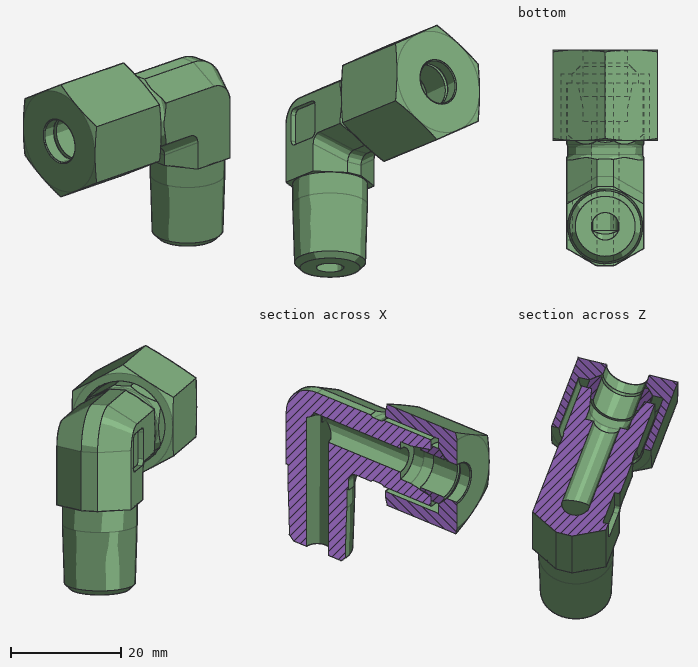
import cadquery as cq
import math


OVERALL_LENGTH = 39.22

BAR_WIDTH = 14.0
BAR_HEIGHT = 14.4
BEND_FILLET = 1.8
THREAD_LEG_LENGTH = 11.02

STUB_DIAMETER = 13.6
STUB_STRAIGHT = 4.0
STUB_END_Z = -27.02
STUB_CHAMFER = 1.02
THREAD_TAPER = 1 / 16

GROOVE_WALL_Y = -12.0
GROOVE_END_Y = -14.35
GROOVE_DIAMETER = 13.7
GROOVE_FILLET = 1.02
LEAD_IN_ANGLE = math.radians(30)
NUT_THREAD_DIAMETER = 16.0
TUBE_LEG_END_Y = -26.0

BORE_DIAMETER = 5.0
BORE_OVERRUN = 0.8
DRILL_POINT_ANGLE = math.radians(118)
TUBE_DIAMETER = 8.0
TUBE_STOP_Y = -19.02
MOUTH_DIAMETER = 10.0
MOUTH_HALF_ANGLE = math.radians(12)

RECESS_SIZE = 7.02
RECESS_CORNER = 1.02
RECESS_DEPTH = 1.02
RECESS_CENTRE = -1.02

NUT_ACROSS_FLATS = 19.0
NUT_FACE_Y = BAR_HEIGHT / 2 - OVERALL_LENGTH
NUT_LENGTH = 16.47
NUT_CHAMFER_ANGLE = math.radians(15)
NUT_BORE_CHAMFER = 0.2
NUT_BORE_LENGTH = 2.4

RING_DIAMETER = 12.0
RING_REAR_GAP = 0.65
RING_NOSE_DEPTH = 2.47

HEX_HALF_ANGLE = math.radians(30)
FLAT_X = BAR_WIDTH / 2
FLAT_TOP = FLAT_X * math.tan(HEX_HALF_ANGLE)
CROWN = BAR_HEIGHT / 2
CROWN_HALF = FLAT_X - (CROWN - FLAT_TOP) * math.tan(2 * HEX_HALF_ANGLE)

NUT_REAR_Y = NUT_FACE_Y + NUT_LENGTH
NUT_CONE_Y = NUT_FACE_Y + NUT_BORE_LENGTH
TUBE_RADIUS = TUBE_DIAMETER / 2
RING_RADIUS = RING_DIAMETER / 2
MOUTH_RADIUS = MOUTH_DIAMETER / 2
NUT_THREAD_RADIUS = NUT_THREAD_DIAMETER / 2
RING_CONE_END_Y = NUT_CONE_Y + RING_RADIUS - TUBE_RADIUS


def turned(points):
    """Solid of revolution about Y from (radius, y) points."""
    return cq.Workplane("XY").polyline(points).close().revolve(360, (0, 0, 0), (0, 1, 0))


def hex_outline(across_flats):
    """Corner points of a regular hexagon with two flats square to its first axis."""
    corner_radius = across_flats / 2 / math.cos(HEX_HALF_ANGLE)
    angles = [(2 * i + 1) * HEX_HALF_ANGLE for i in range(6)]
    return [(corner_radius * math.cos(a), corner_radius * math.sin(a)) for a in angles]


def bar_prism(plane, length):
    """Straight piece of the elbow bar, extruded from the origin along the plane's normal."""
    hexagon_bar = cq.Workplane(plane).polyline(hex_outline(BAR_WIDTH)).close().extrude(length)
    height_limit = cq.Workplane(plane).rect(BAR_WIDTH, BAR_HEIGHT).extrude(length)
    return hexagon_bar.intersect(height_limit)


def bar_bend():
    """Outside of the bend: the upper half of the bar section turned a quarter about X."""
    section = [
        (-FLAT_X, 0),
        (-FLAT_X, FLAT_TOP),
        (-CROWN_HALF, CROWN),
        (CROWN_HALF, CROWN),
        (FLAT_X, FLAT_TOP),
        (FLAT_X, 0),
    ]
    return cq.Workplane("XZ").polyline(section).close().revolve(90, (0, 0, 0), (-1, 0, 0))


def corner_section(x, corner):
    """Rounded filler of the inside corner at y = z = -corner, in the plane at x."""
    tangent = -corner - BEND_FILLET
    arc_mid = tangent + BEND_FILLET * math.sin(math.pi / 4)
    return (
        cq.Workplane("YZ", origin=(x, 0, 0))
        .moveTo(-corner, -corner)
        .lineTo(tangent, -corner)
        .threePointArc((arc_mid, arc_mid), (-corner, tangent))
        .close()
    )


def corner_web():
    """Fillet of the inside corner, following the mitre of the two legs across the width."""
    web = corner_section(-CROWN_HALF, CROWN).extrude(2 * CROWN_HALF)
    rise = CROWN - FLAT_TOP
    for side in (-1, 1):
        wire = corner_section(side * FLAT_X, FLAT_TOP).wire().val()
        along_mitre = cq.Vector(-side * (FLAT_X - CROWN_HALF), -rise, -rise)
        web = web.union(cq.Workplane(cq.Solid.extrudeLinear(wire, [], along_mitre)))
    return web


def tube_leg_envelope():
    """Turned limit of the elbow: whole bar, filleted groove, lead-in cone and thread cylinder."""
    groove_radius = GROOVE_DIAMETER / 2
    wall_top = groove_radius + GROOVE_FILLET
    outer_radius = BAR_WIDTH

    def fillet_point(centre_y, angle):
        """Point on a groove fillet, at an angle from the groove floor toward -Y."""
        return (wall_top - GROOVE_FILLET * math.cos(angle), centre_y - GROOVE_FILLET * math.sin(angle))

    wall_fillet_y = GROOVE_WALL_Y - GROOVE_FILLET
    cone_start = fillet_point(GROOVE_END_Y, LEAD_IN_ANGLE)
    cone_end_y = cone_start[1] - (NUT_THREAD_RADIUS - cone_start[0]) / math.tan(LEAD_IN_ANGLE)
    return (
        cq.Workplane("XY")
        .moveTo(0, BAR_HEIGHT)
        .lineTo(outer_radius, BAR_HEIGHT)
        .lineTo(outer_radius, GROOVE_WALL_Y)
        .lineTo(wall_top, GROOVE_WALL_Y)
        .threePointArc(fillet_point(wall_fillet_y, math.radians(-45)), (groove_radius, wall_fillet_y))
        .lineTo(groove_radius, GROOVE_END_Y)
        .threePointArc(fillet_point(GROOVE_END_Y, LEAD_IN_ANGLE / 2), cone_start)
        .lineTo(NUT_THREAD_RADIUS, cone_end_y)
        .lineTo(NUT_THREAD_RADIUS, TUBE_LEG_END_Y)
        .lineTo(0, TUBE_LEG_END_Y)
        .close()
        .revolve(360, (0, 0, 0), (0, 1, 0))
    )


def thread_stub():
    """Cylinder, 1:16 taper and end chamfer along -Z."""
    top_radius = STUB_DIAMETER / 2
    taper_top_z = -THREAD_LEG_LENGTH - STUB_STRAIGHT
    chamfer_z = STUB_END_Z + STUB_CHAMFER
    chamfer_radius = top_radius - (taper_top_z - chamfer_z) * THREAD_TAPER / 2
    profile = [
        (0, -THREAD_LEG_LENGTH),
        (top_radius, -THREAD_LEG_LENGTH),
        (top_radius, taper_top_z),
        (chamfer_radius, chamfer_z),
        (chamfer_radius - STUB_CHAMFER, STUB_END_Z),
        (0, STUB_END_Z),
    ]
    return cq.Workplane("XZ").polyline(profile).close().revolve(360, (0, 0, 0), (0, 1, 0))


def drilling(start_y):
    """Drilled hole along +Y from start_y, with a conical bottom past the crossing of the axes."""
    radius = BORE_DIAMETER / 2
    tip_y = BORE_OVERRUN + radius / math.tan(DRILL_POINT_ANGLE / 2)
    return turned([(0, start_y), (radius, start_y), (radius, BORE_OVERRUN), (0, tip_y)])


def tube_socket():
    """Conical mouth for the ring, then a straight seat for the tube down to its stop."""
    cone_end_y = TUBE_LEG_END_Y + (MOUTH_RADIUS - TUBE_RADIUS) / math.tan(MOUTH_HALF_ANGLE)
    return turned([
        (0, TUBE_LEG_END_Y),
        (MOUTH_RADIUS, TUBE_LEG_END_Y),
        (TUBE_RADIUS, cone_end_y),
        (TUBE_RADIUS, TUBE_STOP_Y),
        (0, TUBE_STOP_Y),
    ])


def side_recess():
    """Rounded square sunk into the -X flat."""
    return (
        cq.Workplane("YZ", origin=(-FLAT_X, RECESS_CENTRE, RECESS_CENTRE))
        .rect(RECESS_SIZE, RECESS_SIZE)
        .extrude(RECESS_DEPTH)
        .edges("|X")
        .fillet(RECESS_CORNER)
    )


def make_elbow():
    """Bent bar with the turned tube leg, thread stub, crossing bores, tube socket and side recess."""
    tube_leg = bar_prism("XZ", -TUBE_LEG_END_Y)
    thread_leg = bar_prism("XY", -THREAD_LEG_LENGTH)
    bar = tube_leg.union(thread_leg).union(bar_bend()).union(corner_web())
    bar = bar.intersect(tube_leg_envelope())

    thread_bore = drilling(STUB_END_Z).rotate((0, 0, 0), (1, 0, 0), 90)
    return (
        bar.union(thread_stub())
        .cut(drilling(TUBE_STOP_Y))
        .cut(thread_bore)
        .cut(tube_socket())
        .cut(side_recess())
    )


def make_nut():
    """Hexagon nut, both ends chamfered, with a tube bore, a 45 degree ring seat and a thread bore."""
    blank = (
        cq.Workplane("XZ", origin=(0, NUT_REAR_Y, 0))
        .polyline(hex_outline(NUT_ACROSS_FLATS))
        .close()
        .extrude(NUT_LENGTH)
    )
    flat_radius = NUT_ACROSS_FLATS / 2
    rim_radius = NUT_ACROSS_FLATS
    rim_drop = (rim_radius - flat_radius) * math.tan(NUT_CHAMFER_ANGLE)
    envelope = turned([
        (0, NUT_FACE_Y),
        (flat_radius, NUT_FACE_Y),
        (rim_radius, NUT_FACE_Y + rim_drop),
        (rim_radius, NUT_REAR_Y - rim_drop),
        (flat_radius, NUT_REAR_Y),
        (0, NUT_REAR_Y),
    ])
    cavity = turned([
        (0, NUT_FACE_Y),
        (TUBE_RADIUS + NUT_BORE_CHAMFER, NUT_FACE_Y),
        (TUBE_RADIUS, NUT_FACE_Y + NUT_BORE_CHAMFER),
        (TUBE_RADIUS, NUT_CONE_Y),
        (RING_RADIUS, RING_CONE_END_Y),
        (NUT_THREAD_RADIUS, RING_CONE_END_Y),
        (NUT_THREAD_RADIUS, NUT_REAR_Y),
        (0, NUT_REAR_Y),
    ])
    return blank.intersect(envelope).cut(cavity)


def make_ring():
    """Cutting ring: rear cone in the nut seat, shoulder on the elbow's end, nose in its mouth."""
    rear_y = NUT_CONE_Y + RING_REAR_GAP
    nose_y = TUBE_LEG_END_Y + RING_NOSE_DEPTH
    nose_radius = MOUTH_RADIUS - RING_NOSE_DEPTH * math.tan(MOUTH_HALF_ANGLE)
    return turned([
        (TUBE_RADIUS, rear_y),
        (TUBE_RADIUS + RING_REAR_GAP, rear_y),
        (RING_RADIUS, RING_CONE_END_Y),
        (RING_RADIUS, TUBE_LEG_END_Y),
        (MOUTH_RADIUS, TUBE_LEG_END_Y),
        (nose_radius, nose_y),
        (TUBE_RADIUS, nose_y),
    ])


elbow = make_elbow()
nut = make_nut()
ring = make_ring()
result = cq.Compound.makeCompound([elbow.solids().val(), nut.solids().val(), ring.val()])